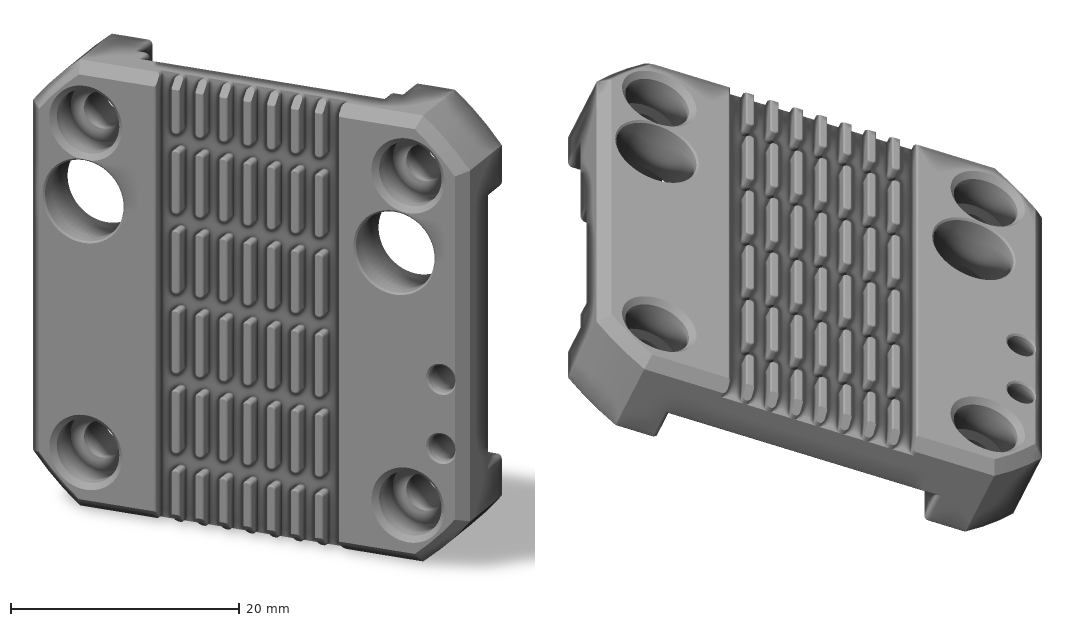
import cadquery as cq
import math

SIDE = 42.0
HALF = SIDE / 2
DEPTH = 8.0
FRONT_CHAMFER = 1.0
CORNER_CUT = 4.5

PLATE_REAR = 5.0
LEG_GAP = 25.2
LEG_ROUND = 0.4
REAR_CHAMFER = 0.15

NOTCH_FLOOR = 3.4
NOTCH_DEPTH = 2.5
NOTCH_ROUND = 1.0
LIP_CHAMFER = 0.15
NOTCH_FLARE = 0.5
TOP_NOTCH_WIDTH = 23.0
SIDE_NOTCH_WIDTH = 12.47
SIDE_NOTCH_Z = -4.5

PAD_WIDTH = 13.85
PAD_HEIGHT = 6.0
PAD_CENTER = (1.18, 6.97)
PAD_TOP = 6.4
PAD_ROUND = 0.5

CHANNEL_WIDTH = 17.55
CHANNEL_FLOOR = 1.45
CHANNEL_END_ROUND = 0.38
CHANNEL_EDGE_ROUND = 0.2
FIN_WIDTH = 0.8
FIN_LENGTH = 6.0
FIN_GAP = 1.5
FIN_ROUND = 0.35
FIN_TIP_ROUND = 0.15
FIN_COLUMNS = 7
FIN_ROWS = 6
OUTER_FIN_X = 6.9

SCREW_OFFSET = 15.5
SCREW_DIAMETER = 3.45
HEAD_DIAMETER = 6.0
HEAD_DEPTH = 3.5
HEAD_CHAMFER = 0.5
LARGE_HOLES = [(-15.7, 8.15), (14.2, 8.05)]
LARGE_DIAMETER = 7.55
SMALL_HOLES = [(18.7, -3.15), (18.7, -9.65)]
SMALL_DIAMETER = 2.55
HOLE_CHAMFER = 0.15


def block(x_size, z_size, y_start, y_end, center=(0, 0)):
    """Rectangular block between two Y levels, centred on (x, z)."""
    return (
        cq.Workplane("XZ", origin=(center[0], y_start, center[1]))
        .rect(x_size, z_size)
        .extrude(y_start - y_end)
    )


def cylinder(diameter, y_start, y_end, center):
    return (
        cq.Workplane("XZ", origin=(center[0], y_start, center[1]))
        .circle(diameter / 2)
        .extrude(y_start - y_end)
    )


def envelope():
    """Square block with corners rounded about its centre and a chamfered front face."""
    flat = HALF - CORNER_CUT
    bulge = math.hypot(HALF, flat) / math.sqrt(2)
    return (
        cq.Workplane("XZ")
        .moveTo(-flat, -HALF)
        .lineTo(flat, -HALF)
        .threePointArc((bulge, -bulge), (HALF, -flat))
        .lineTo(HALF, flat)
        .threePointArc((bulge, bulge), (flat, HALF))
        .lineTo(-flat, HALF)
        .threePointArc((-bulge, bulge), (-HALF, flat))
        .lineTo(-HALF, -flat)
        .threePointArc((-bulge, -bulge), (-flat, -HALF))
        .close()
        .extrude(-DEPTH)
        .faces("<Y")
        .chamfer(FRONT_CHAMFER)
    )


def legs(outer):
    """Four corner legs, rounded towards the gaps and chamfered around their rear ends."""
    size = (SIDE - LEG_GAP) / 2
    center = (HALF + LEG_GAP / 2) / 2
    start = PLATE_REAR - REAR_CHAMFER
    inner_edge = "(>X and <Z) or (<X and >Z) or (<X and <Z)"
    leg = block(size, size, start, DEPTH, (center, center))
    leg = leg.edges("|Y").edges(inner_edge).fillet(LEG_ROUND).intersect(outer)
    leg = leg.faces(">Y").chamfer(REAR_CHAMFER)
    pair = leg.union(leg.mirror("YZ"))
    return pair.union(pair.mirror("XY"))


def plate(outer):
    """Plate behind the channel floor level, with rim notches and a chamfered rear outline."""
    slab = outer.intersect(block(SIDE, SIDE, CHANNEL_FLOOR, PLATE_REAR))
    side_notch = notch(SIDE_NOTCH_WIDTH).rotate((0, 0, 0), (0, 1, 0), -90)
    slab = slab.cut(top_notch()).cut(side_notch.translate((0, 0, SIDE_NOTCH_Z)))
    return slab.faces(">Y").chamfer(REAR_CHAMFER)


def notch(width, floor=NOTCH_FLOOR):
    """Notch open towards +Z, with a rounded floor outline and a flared mouth at z = HALF."""
    half = width / 2
    bottom = HALF - NOTCH_DEPTH
    return (
        cq.Workplane("XZ", origin=(0, floor, 0))
        .moveTo(-half - NOTCH_FLARE, HALF)
        .radiusArc((-half, HALF - NOTCH_FLARE), NOTCH_FLARE)
        .lineTo(-half, bottom + NOTCH_ROUND)
        .radiusArc((-half + NOTCH_ROUND, bottom), -NOTCH_ROUND)
        .lineTo(half - NOTCH_ROUND, bottom)
        .radiusArc((half, bottom + NOTCH_ROUND), -NOTCH_ROUND)
        .lineTo(half, HALF - NOTCH_FLARE)
        .radiusArc((half + NOTCH_FLARE, HALF), NOTCH_FLARE)
        .close()
        .extrude(floor - PLATE_REAR)
    )


def top_notch():
    """Notch in the top rim whose floor ends in a chamfered lip."""
    lip = (
        cq.Workplane("YZ")
        .moveTo(NOTCH_FLOOR - LIP_CHAMFER, HALF)
        .lineTo(NOTCH_FLOOR, HALF)
        .lineTo(NOTCH_FLOOR, HALF - LIP_CHAMFER)
        .close()
        .extrude(HALF, both=True)
    )
    lip = lip.intersect(notch(TOP_NOTCH_WIDTH, NOTCH_FLOOR - LIP_CHAMFER))
    return notch(TOP_NOTCH_WIDTH).union(lip)


def pad():
    blank = block(PAD_WIDTH, PAD_HEIGHT, PLATE_REAR, PAD_TOP, PAD_CENTER)
    return blank.edges("|Y").fillet(PAD_ROUND)


def channel_banks():
    """Raised banks left and right of the channel, rounded along the channel."""
    width = (SIDE - CHANNEL_WIDTH) / 2
    x = (SIDE + CHANNEL_WIDTH) / 4
    bank = block(width, SIDE, 0, CHANNEL_FLOOR, (x, 0))
    bank = bank.edges("<X and |Y").fillet(CHANNEL_END_ROUND)
    bank = bank.faces("<Y").edges("<X").fillet(CHANNEL_EDGE_ROUND)
    return bank.union(bank.mirror("YZ"))


def fin(length):
    """Upright fin centred on the origin, with rounded sides and tip."""
    blank = block(FIN_WIDTH, length, 0, CHANNEL_FLOOR).edges("|Y").fillet(FIN_ROUND)
    return blank.faces("<Y").edges().fillet(FIN_TIP_ROUND)


def fins():
    """Grid of fins; the end rows are shortened to the edge of the plate."""
    column_pitch = 2 * OUTER_FIN_X / (FIN_COLUMNS - 1)
    row_pitch = FIN_LENGTH + FIN_GAP
    solids = []
    for row in range(FIN_ROWS):
        center = (row - (FIN_ROWS - 1) / 2) * row_pitch
        low = max(center - FIN_LENGTH / 2, -HALF)
        high = min(center + FIN_LENGTH / 2, HALF)
        row_fin = fin(high - low)
        for column in range(FIN_COLUMNS):
            x = column * column_pitch - OUTER_FIN_X
            solids.append(row_fin.translate((x, 0, (low + high) / 2)).val())
    return cq.Workplane(cq.Compound.makeCompound(solids))


def chamfered_hole(center, diameter, depth, chamfer):
    """Cutter for a hole entering from the front face, with a conical mouth."""
    x, z = center
    cone = cq.Solid.makeCone(
        diameter / 2 + chamfer, diameter / 2, chamfer, cq.Vector(x, 0, z), cq.Vector(0, 1, 0))
    return cylinder(diameter, 0, depth, center).union(cq.Workplane(cone))


def screw_holes():
    """Cutters for the counterbored screw holes in the four corners."""
    corner = (SCREW_OFFSET, SCREW_OFFSET)
    hole = cylinder(SCREW_DIAMETER, 0, DEPTH, corner)
    hole = hole.union(chamfered_hole(corner, HEAD_DIAMETER, HEAD_DEPTH, HEAD_CHAMFER))
    pair = hole.union(hole.mirror("YZ"))
    return pair.union(pair.mirror("XY"))


def plain_holes(centers, diameter):
    """Cutters for chamfered holes that pass right through."""
    cutters = cq.Workplane()
    for center in centers:
        cutters = cutters.union(chamfered_hole(center, diameter, DEPTH, HOLE_CHAMFER))
    return cutters


outer = envelope()
body = plate(outer).union(legs(outer)).union(pad())
body = body.union(channel_banks().intersect(outer))
body = body.cut(screw_holes())
body = body.cut(plain_holes(LARGE_HOLES, LARGE_DIAMETER))
body = body.cut(plain_holes(SMALL_HOLES, SMALL_DIAMETER))
result = body.union(fins().intersect(outer))